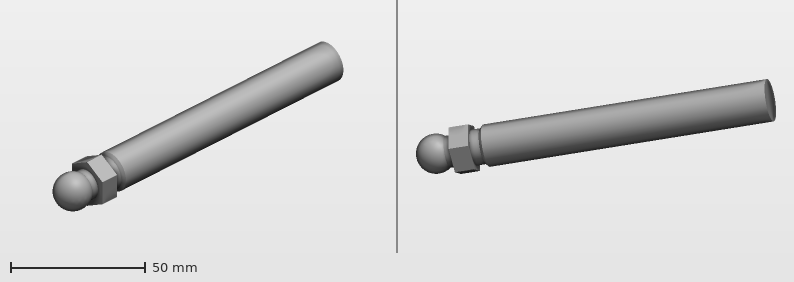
import cadquery as cq
import math

total_length = 137.0
ball_diameter = 15.1
neck_diameter = 12.0
hex_across_flats = 17.0
hex_thickness = 7.4
undercut_diameter = 13.5
shaft_diameter = 16.0

tip_to_hex = 14.8
tip_to_shaft = 27.1

ball_radius = ball_diameter / 2
neck_radius = neck_diameter / 2
undercut_radius = undercut_diameter / 2
shaft_radius = shaft_diameter / 2

tip_y = -ball_radius
neck_start_y = math.sqrt(ball_radius**2 - neck_radius**2)
hex_start_y = tip_y + tip_to_hex
shaft_start_y = tip_y + tip_to_shaft
shaft_end_y = tip_y + total_length
cone_start_y = shaft_start_y - (shaft_radius - undercut_radius)


def make_turned_body():
    """Ball, neck, undercut and shaft as one revolved half profile."""
    profile = (
        cq.Workplane("XY")
        .moveTo(0, tip_y)
        .threePointArc((ball_radius, 0), (neck_radius, neck_start_y))
        .lineTo(neck_radius, hex_start_y)
        .lineTo(undercut_radius, hex_start_y)
        .lineTo(undercut_radius, cone_start_y)
        .lineTo(shaft_radius, shaft_start_y)
        .lineTo(shaft_radius, shaft_end_y)
        .lineTo(0, shaft_end_y)
        .close()
    )
    return profile.revolve(360, (0, 0, 0), (0, 1, 0))


def make_hex_collar():
    """Wrench hexagon with corners on +Z and -Z and flats facing X."""
    corner_radius = hex_across_flats / math.sqrt(3)
    corner_angles = [math.radians(30 + 60 * i) for i in range(6)]
    corners = [(corner_radius * math.cos(a), corner_radius * math.sin(a)) for a in corner_angles]
    return (
        cq.Workplane("XZ", origin=(0, hex_start_y, 0))
        .polyline(corners)
        .close()
        .extrude(-hex_thickness)
    )


result = make_turned_body().union(make_hex_collar())